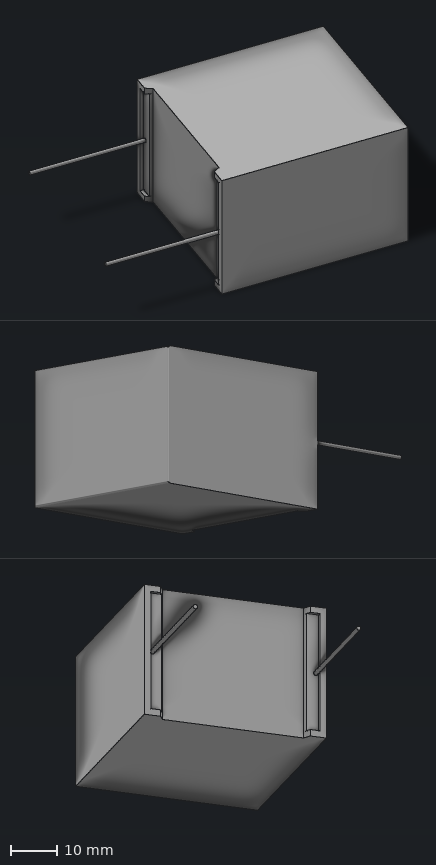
import cadquery as cq

case_width = 41.8
case_height = 30.3
case_length = 45.1
back_fillet = 0.5
wall = 1.5

foot_height = 1.6
foot_width = 3.7
flank_width = 1.05

resin_depth = 0.9

lead_diameter = 1.0
lead_pitch = 37.5
lead_length = 27.0

inner_width = case_width - 2 * wall
inner_height = case_height - 2 * wall
inner_back = case_length - wall
bridge_top = foot_height + wall
window_width = foot_width + flank_width * resin_depth / foot_height - wall
sides = (-1, 1)


def block(width, height, y_start, y_end, x_center=0):
    """Box centred on z = 0 that runs from y_start to y_end."""
    length = y_end - y_start
    box = cq.Workplane("XY").box(width, length, height, centered=(True, False, True))
    return box.translate((x_center, y_start, 0))


def make_interior(window_start):
    """Main cavity behind the bridge, plus the two windows reaching down to window_start."""
    interior = block(inner_width, inner_height, bridge_top, inner_back)
    for side in sides:
        window_center = side * (inner_width - window_width) / 2
        interior = interior.union(
            block(window_width, inner_height, window_start, bridge_top, window_center)
        )
    return interior


def make_case():
    """Hollow case with two feet, a bridge between them and a window in each foot."""
    outer_x = case_width / 2
    foot_x = outer_x - foot_width
    flank_x = foot_x - flank_width
    outline = [
        (-outer_x, 0),
        (-foot_x, 0),
        (-flank_x, foot_height),
        (flank_x, foot_height),
        (foot_x, 0),
        (outer_x, 0),
        (outer_x, case_length),
        (-outer_x, case_length),
    ]
    body = cq.Workplane("XY").polyline(outline).close().extrude(case_height / 2, both=True)
    body = body.faces(">Y").edges().fillet(back_fillet)
    return body.cut(make_interior(0))


def make_resin():
    """Potting resin that fills the case and rises into both windows."""
    return make_interior(resin_depth)


def make_lead(side):
    """Straight round lead that starts on the resin in one window."""
    lead = cq.Workplane("XZ", origin=(side * lead_pitch / 2, resin_depth, 0))
    return lead.circle(lead_diameter / 2).extrude(lead_length + resin_depth)


case = make_case()
resin = make_resin()
leads = [make_lead(side) for side in sides]

result = cq.Compound.makeCompound([case.val(), resin.val(), *[lead.val() for lead in leads]])